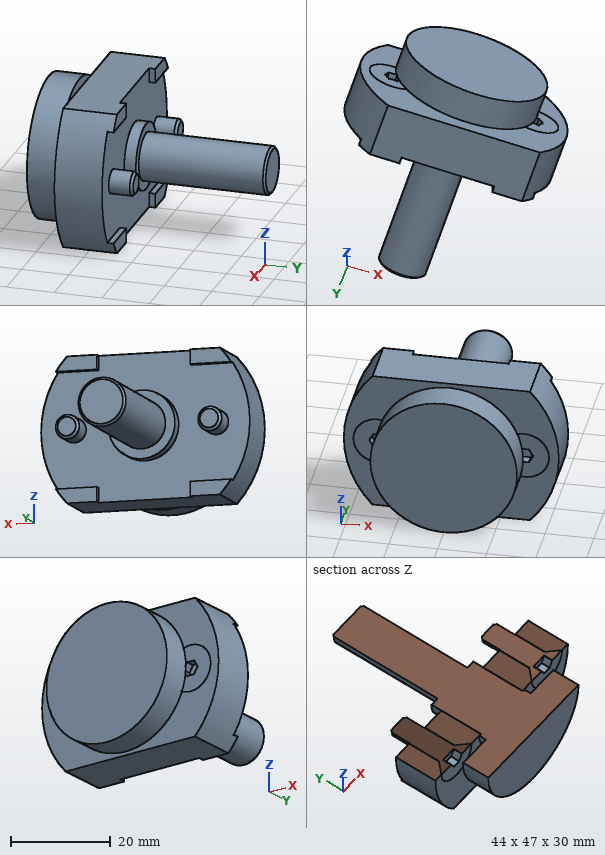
import cadquery as cq
import math

stud_length = 47.0
stud_front = -stud_length / 2
stud_head_thickness = 6.4
neck_length = 1.6
plate_thickness = 10.0
collar_projection = 2.45
plate_front = stud_front + stud_head_thickness + neck_length
plate_back = plate_front + plate_thickness

stud_head_diameter = 30.0
neck_diameter = 15.0
collar_diameter = 14.0
shaft_diameter = 10.0
shaft_chamfer = 0.45

plate_diameter = 44.0
plate_height = stud_head_diameter
pad_projection = 1.3
pad_height = 3.0
pad_gap_width = 19.65

screw_spacing = 30.0
screw_head_diameter = 10.0
screw_shank_diameter = 5.0
screw_projection = 5.0
screw_tip_chamfer = 0.55
socket_width = 3.0
socket_depth = 2.0
countersink_depth = (screw_head_diameter - screw_shank_diameter) / 2


def rod(diameter, start, end, x=0):
    """Cylinder along +Y from start to end."""
    radius = diameter / 2
    base_center = cq.Vector(x, start, 0)
    return cq.Workplane(cq.Solid.makeCylinder(radius, end - start, base_center, cq.Vector(0, 1, 0)))


def screw_blank(x):
    """Countersunk head and plain shank, also used to cut its hole in the plate."""
    head = cq.Solid.makeCone(
        screw_head_diameter / 2,
        screw_shank_diameter / 2,
        countersink_depth,
        cq.Vector(x, plate_front, 0),
        cq.Vector(0, 1, 0),
    )
    shank = rod(screw_shank_diameter, plate_front + countersink_depth, plate_back + screw_projection, x)
    return shank.union(cq.Workplane(head))


def make_screw(x):
    """Countersunk screw with a chamfered tip and a hexagon socket."""
    socket_corner_diameter = socket_width / math.cos(math.pi / 6)
    socket = (
        cq.Workplane("XZ", origin=(x, plate_front, 0))
        .polygon(6, socket_corner_diameter)
        .extrude(-socket_depth)
    )
    return screw_blank(x).faces(">Y").chamfer(screw_tip_chamfer).cut(socket)


def make_stud():
    """Stud with a wide head, a neck against the plate and a collar through it."""
    neck_start = stud_front + stud_head_thickness
    collar_end = plate_back + collar_projection
    shaft = rod(shaft_diameter, collar_end, stud_front + stud_length).faces(">Y").chamfer(shaft_chamfer)
    return (
        rod(stud_head_diameter, stud_front, neck_start)
        .union(rod(neck_diameter, neck_start, plate_front))
        .union(rod(collar_diameter, plate_front, collar_end))
        .union(shaft)
    )


def make_plate(screw_positions):
    """Plate with crossing channels that leave the corner pads, and its three holes."""
    pad_back = plate_back + pad_projection
    plate_depth = pad_back - plate_front
    flats = cq.Workplane("XY").box(plate_diameter, plate_depth, plate_height)
    flats = flats.translate((0, (plate_front + pad_back) / 2, 0))
    plate = rod(plate_diameter, plate_front, pad_back).intersect(flats)

    channel_center = (0, plate_back + pad_projection / 2, 0)
    channel_height = plate_height - 2 * pad_height
    for width, height in ((plate_diameter, channel_height), (pad_gap_width, plate_height)):
        channel = cq.Workplane("XY").box(width, pad_projection, height)
        plate = plate.cut(channel.translate(channel_center))

    plate = plate.cut(rod(collar_diameter, plate_front, plate_back))
    for x in screw_positions:
        plate = plate.cut(screw_blank(x))
    return plate


screw_positions = (-screw_spacing / 2, screw_spacing / 2)
stud = make_stud()
plate = make_plate(screw_positions)
screws = [make_screw(x) for x in screw_positions]

bodies = [stud, plate, *screws]

result = cq.Compound.makeCompound([body.solids().val() for body in bodies])